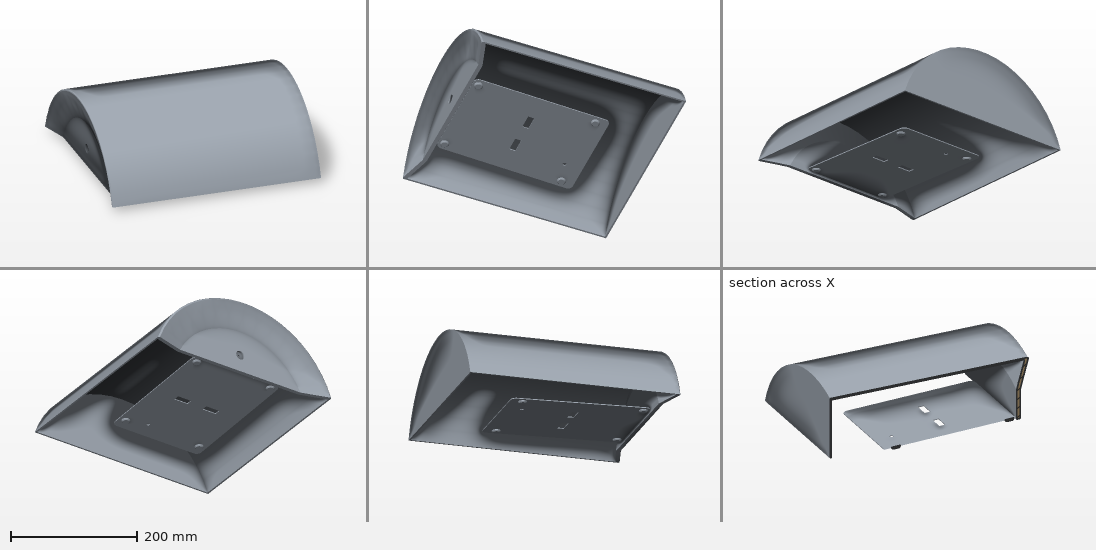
import cadquery as cq

LENGTH = 350.0
RADIUS = 175.0
HEIGHT = 120.0
WALL = 2.8
RIM_RADIUS = 2.8
RIM_SETBACK = 1.8
FLOOR_RADIUS = 127.8
FLOOR_DEPTH = 14.0
END_WALL = 7.0

AXIS_Z = HEIGHT - RADIUS
FRONT_Y = -LENGTH / 2
BACK_Y = LENGTH / 2
FLOOR_Y = FRONT_Y + FLOOR_DEPTH
INNER_RADIUS = RADIUS - WALL

LOCK_DIAMETER = 15.5
LOCK_HEIGHT = 29.8
LOCK_RECESS = 4.0
KEY_RADIUS = 1.92
KEY_DEPTH = 1.8

PLATE_WIDTH = 165.2
PLATE_THICKNESS = 1.5
PLATE_FRONT_Y = -152.2
PLATE_BACK_Y = 79.8
PLATE_CORNER = 8.8
TILT = 1.9
TILT_Y = -66.5

FOOT_DIAMETER = 14.5
FOOT_HEIGHT = 2.8
FOOT_CHAMFER = 1.8
FOOT_X = 70.5
FOOT_ROWS_Y = (-142.0, 58.8)

SLOT_LENGTH = 25.0
SLOT_WIDTH = 10.5
SLOT_X = 27.0
SLOT_Y = -38.5
HOLE_DIAMETER = 6.0
HOLE_X = -34.3
HOLE_Y = 49.0


def revolve_about_arch_axis(profile):
    """Turn a profile, drawn as (radius, Y), about the arch axis."""
    return profile.close().revolve(360, (0, 0, 0), (0, 1, 0)).translate((0, 0, AXIS_Z))


def make_cover():
    """Hollow arch, open at the base, with a flared and recessed front end."""
    body = revolve_about_arch_axis(
        cq.Workplane("XY")
        .moveTo(0, BACK_Y)
        .lineTo(RADIUS, BACK_Y)
        .lineTo(RADIUS, FRONT_Y + RIM_SETBACK)
        .radiusArc((INNER_RADIUS, FRONT_Y), RIM_RADIUS)
        .lineTo(FLOOR_RADIUS, FLOOR_Y)
        .lineTo(0, FLOOR_Y)
    )
    cavity = revolve_about_arch_axis(
        cq.Workplane("XY")
        .moveTo(0, BACK_Y - WALL)
        .lineTo(INNER_RADIUS, BACK_Y - WALL)
        .lineTo(INNER_RADIUS, FRONT_Y + END_WALL)
        .lineTo(FLOOR_RADIUS, FLOOR_Y + END_WALL)
        .lineTo(0, FLOOR_Y + END_WALL)
    )
    above_base = cq.Workplane("XY").box(2 * RADIUS, LENGTH, HEIGHT, centered=(True, True, False))
    lock_hole = lock_cylinder(FLOOR_Y, END_WALL)
    return body.cut(cavity).intersect(above_base).cut(lock_hole)


def lock_cylinder(start_y, length):
    """Cylinder on the lock axis that runs towards +Y from start_y."""
    plane = cq.Plane(origin=(0, start_y, LOCK_HEIGHT), xDir=(-1, 0, 0), normal=(0, 1, 0))
    return cq.Workplane(plane).circle(LOCK_DIAMETER / 2).extrude(length)


def make_lock():
    """Disc that fills the inner part of the lock hole, with a half-round key socket."""
    face_y = FLOOR_Y + LOCK_RECESS
    plane = cq.Plane(origin=(0, face_y, LOCK_HEIGHT), xDir=(-1, 0, 0), normal=(0, 1, 0))
    socket = (
        cq.Workplane(plane)
        .moveTo(KEY_RADIUS, 0)
        .threePointArc((0, KEY_RADIUS), (-KEY_RADIUS, 0))
        .close()
        .extrude(KEY_DEPTH)
    )
    return lock_cylinder(face_y, END_WALL - LOCK_RECESS).cut(socket)


def make_back_plate():
    """Flat plate on four feet, tilted about the line where it leaves the cover."""
    plate = (
        cq.Workplane("XY")
        .center(0, (PLATE_FRONT_Y + PLATE_BACK_Y) / 2)
        .rect(PLATE_WIDTH, PLATE_BACK_Y - PLATE_FRONT_Y)
        .extrude(PLATE_THICKNESS)
        .edges("|Z")
        .fillet(PLATE_CORNER)
    )
    slots = (
        cq.Workplane("XY")
        .pushPoints([(side * SLOT_X, SLOT_Y) for side in (-1, 1)])
        .rect(SLOT_LENGTH, SLOT_WIDTH)
        .extrude(PLATE_THICKNESS)
    )
    hole = cq.Workplane("XY").center(HOLE_X, HOLE_Y).circle(HOLE_DIAMETER / 2).extrude(PLATE_THICKNESS)
    feet = (
        cq.Workplane("XY")
        .pushPoints([(side * FOOT_X, y) for side in (-1, 1) for y in FOOT_ROWS_Y])
        .circle(FOOT_DIAMETER / 2)
        .extrude(-FOOT_HEIGHT)
        .faces("<Z")
        .chamfer(FOOT_CHAMFER)
    )
    flat = plate.cut(slots).cut(hole).union(feet)
    return flat.rotate((0, TILT_Y, 0), (1, TILT_Y, 0), -TILT)


cover = make_cover()
lock = make_lock()
back_plate = make_back_plate()

result = cq.Compound.makeCompound([cover.val(), lock.val(), back_plate.val()])